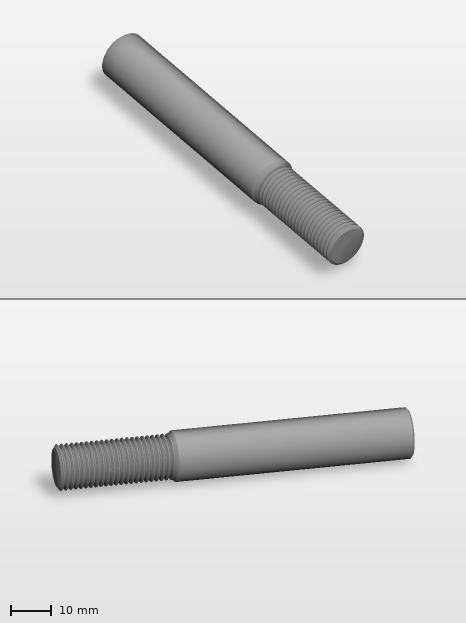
import cadquery as cq

total_length = 88.9
shank_length = 59.4
shank_diameter = 12.7
end_chamfer_length = 0.45
end_chamfer_drop = 0.5

thread_length = 29.2
ring_count = 23
crest_diameter = 11.5
root_diameter = 10.0
root_flat = 0.3
crest_flat = 0.13

shank_radius = shank_diameter / 2
crest_radius = crest_diameter / 2
root_radius = root_diameter / 2
pitch = thread_length / ring_count
thread_start = total_length - thread_length
flank_run = (pitch - root_flat - crest_flat) / 2
flank_slope = (crest_radius - root_radius) / flank_run

first_flank_start = thread_start + root_flat / 2
shoulder_drop = (
    shank_radius - root_radius - flank_slope * (shank_length - first_flank_start)
) / (1 + flank_slope)


def ring_corners(index):
    """Half-section corners of one ring: rising flank, crest and falling flank."""
    start = thread_start + index * pitch + root_flat / 2
    crest_start = start + flank_run
    crest_end = crest_start + crest_flat
    return [
        (start, root_radius),
        (crest_start, crest_radius),
        (crest_end, crest_radius),
        (crest_end + flank_run, root_radius),
    ]


rings = [corner for index in range(ring_count) for corner in ring_corners(index)]

half_section = [
    (0, 0),
    (0, shank_radius - end_chamfer_drop),
    (end_chamfer_length, shank_radius),
    (shank_length, shank_radius),
    (shank_length + shoulder_drop, shank_radius - shoulder_drop),
    *rings[1:],
    (total_length, root_radius),
    (total_length, 0),
]

result = (
    cq.Workplane("XY")
    .polyline(half_section)
    .close()
    .revolve(360, (0, 0, 0), (1, 0, 0))
    .translate((-total_length / 2, 0, 0))
)